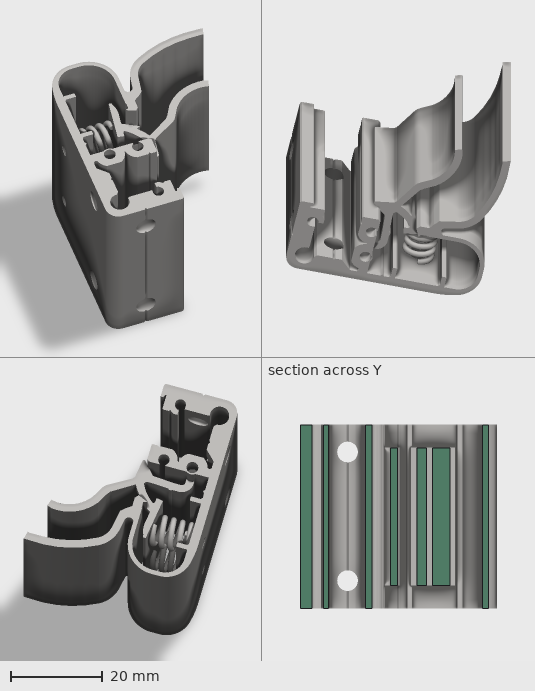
import cadquery as cq
import math

width = 42.8
height = 40.0
mid_height = height / 2
base_top = 2.0
overlap = 0.43

loop_top = 15.05
loop_wall = 1.0
loop_top_radius = 6.98
loop_bottom_radius = 5.85
loop_bottom_start = 6.25
bend_change = (4.92, 0.45)
bend_middle = (6.95, 0.13)
base_start = 8.95

jaw_slot_end = 11.15
lip_top = 16.25

jaw_inset = 5.0

rib_positions = (7.5, 18.45)
rib_width = 1.03
rib_top = 4.6
bead_x = 21.3
bead_half_width = 0.4

post_left = 24.65
post_right = 28.7
post_top = 16.05
post_corner = 0.2
post_bevel = 0.45
pin_center = (25.9, 6.08)
pin_radius = 1.3
pin_sleeve_radius = 1.6
groove_center = (25.95, 12.55)
groove_radius = 1.25
groove_mouth = 1.3
upper_lobe_radius = 3
lower_lobe_radius = 3.3

pad_start = 28.5
pad_top = 4.25
pad_end = 36.8
pad_corner = 0.55
wall_left = 38.3
wall_top = 17.2
wall_shelf = 16.05
wall_groove_center = (39.08, 12.55)
wall_groove_radius = 1.2
corner_radius = 3
channel_center = (38.95, 3.65)
channel_radius = 2.1

mark_depth = 0.35
post_mark_y = 14.3

screw_diameter = 4.5
screw_offset = 14.0
base_hole_x = 32.5
wall_hole_y = 8.3

spring_x = 13.52
spring_offset = 9
peg_diameter = 3.1
peg_bore = 2.53
peg_top = 4.4
peg_slit_width = 0.5
peg_slit_shift = -0.25
wire_diameter = 1.3
coil_diameter = 6.1
coil_pitch = 2.0
coil_turns = 4.5
coil_start = 2.15


def on_circle(center, radius, degrees):
    angle = math.radians(degrees)
    return (center[0] + radius * math.cos(angle), center[1] + radius * math.sin(angle))


def start(x, y):
    return cq.Workplane("XY").moveTo(x, y)


def prism(wire, length=height):
    return wire.close().extrude(length)


def box(x_min, x_max, y_min, y_max):
    return prism(start(x_min, y_min).lineTo(x_max, y_min).lineTo(x_max, y_max).lineTo(x_min, y_max))


def bar(center, radius):
    return cq.Workplane("XY").center(*center).circle(radius).extrude(height)


def mark(x, y, inward_x, inward_y):
    """Right-angled V groove into a flat face; the inward direction is a unit vector."""
    return prism(
        start(x - inward_y * mark_depth, y - inward_x * mark_depth)
        .lineTo(x + inward_x * mark_depth, y + inward_y * mark_depth)
        .lineTo(x + inward_y * mark_depth, y + inward_x * mark_depth)
    )


def drill_along_y(x, z, diameter, y_max):
    return cq.Workplane("XZ").center(x, z).circle(diameter / 2).extrude(-y_max)


def loop():
    top_center = (loop_top_radius, loop_top - loop_top_radius)
    low_center = (loop_bottom_radius, loop_bottom_start)
    inner_top_radius = loop_top_radius - loop_wall
    inner_low_radius = loop_bottom_start - base_top
    inner_low_center = (loop_wall + inner_low_radius, base_top + inner_low_radius)
    lip_end = jaw_slot_end + 2 * overlap
    inner_top = loop_top - loop_wall
    return prism(
        start(base_start + overlap, 0)
        .lineTo(base_start, 0)
        .threePointArc(bend_middle, bend_change)
        .threePointArc(on_circle(low_center, loop_bottom_radius, 215), (0, loop_bottom_start))
        .lineTo(0, top_center[1])
        .threePointArc(on_circle(top_center, loop_top_radius, 135), (top_center[0], loop_top))
        .lineTo(lip_end, loop_top)
        .lineTo(lip_end, inner_top)
        .lineTo(top_center[0], inner_top)
        .threePointArc(on_circle(top_center, inner_top_radius, 135), (loop_wall, top_center[1]))
        .lineTo(loop_wall, inner_low_center[1])
        .threePointArc(on_circle(inner_low_center, inner_low_radius, 225), (inner_low_center[0], base_top))
        .lineTo(base_start + overlap, base_top)
    )


def fixed_jaw():
    slot_roof = 16.95
    slot_round_start = jaw_slot_end - 0.65
    slot_middle = (slot_roof + loop_top) / 2
    return prism(
        start(0.2, 36.95)
        .lineTo(0.15, 35.52)
        .threePointArc((0.8, 27.15), (3.2, 20.8))
        .threePointArc((4.9, 18.8), (7.7, 17.45))
        .lineTo(slot_round_start, slot_roof)
        .threePointArc((jaw_slot_end, slot_middle), (slot_round_start, loop_top))
        .lineTo(slot_round_start, loop_top - loop_wall)
        .lineTo(13.95, loop_top - loop_wall)
        .lineTo(14.12, 14.2)
        .lineTo(15.32, 14.2)
        .lineTo(15.65, 13.45)
        .lineTo(16.6, 15.6)
        .lineTo(15.85, lip_top)
        .lineTo(13.82, lip_top)
        .lineTo(13.1, 17.35)
        .lineTo(12.05, 18.5)
        .lineTo(7.9, 19.2)
        .threePointArc((6.2, 19.95), (4.9, 21.4))
        .threePointArc((2.65, 26.95), (1.85, 32.95))
        .lineTo(1.85, 36.15)
        .lineTo(2.0, 36.5)
    )


def base():
    pad_rise = pad_top - base_top
    end_x = width - corner_radius
    return prism(
        start(base_start, 0)
        .lineTo(end_x, 0)
        .lineTo(end_x, channel_center[1])
        .lineTo(pad_end, channel_center[1])
        .lineTo(pad_end, pad_top - pad_corner)
        .lineTo(pad_end - pad_corner, pad_top)
        .lineTo(pad_start + pad_rise, pad_top)
        .lineTo(pad_start, base_top)
        .lineTo(base_start, base_top)
    ).cut(mark(base_hole_x, pad_top, 0, -1))


def rib(x):
    chamfer = 0.15
    right = x + rib_width
    return prism(
        start(x, overlap)
        .lineTo(x, rib_top - chamfer)
        .lineTo(x + chamfer, rib_top)
        .lineTo(right, rib_top)
        .lineTo(right, base_top + 2 * chamfer)
        .lineTo(right + 2 * chamfer, base_top)
        .lineTo(right + 2 * chamfer, overlap)
    )


def bead():
    return prism(
        start(bead_x - bead_half_width, base_top)
        .lineTo(bead_x, base_top + bead_half_width)
        .lineTo(bead_x + bead_half_width, base_top)
    )


def post():
    def lobe_rise(center, radius):
        """Distance above or below the centre at which the lobe meets the right face."""
        return math.sqrt(radius ** 2 - (post_right - center[0]) ** 2)

    def upper_lobe(degrees):
        return on_circle(groove_center, upper_lobe_radius, degrees)

    def lower_lobe(degrees):
        return on_circle(pin_center, lower_lobe_radius, degrees)

    slot_left = 26.6
    slot_chamfer = 0.3
    neck_tip = (26.25, 9.4)
    upper_end = groove_center[1] - lobe_rise(groove_center, upper_lobe_radius)
    lower_rise = lobe_rise(pin_center, lower_lobe_radius)
    section = prism(
        start(post_left, overlap)
        .lineTo(post_left, post_top - post_bevel)
        .lineTo(post_left + post_bevel, post_top)
        .lineTo(post_right - post_corner, post_top)
        .lineTo(post_right, post_top - post_corner)
        .lineTo(post_right, upper_end)
        .threePointArc(upper_lobe(-50), upper_lobe(-78))
        .lineTo(*neck_tip)
        .lineTo(*lower_lobe(79))
        .threePointArc(lower_lobe(55), (post_right, pin_center[1] + lower_rise))
        .lineTo(post_right, pin_center[1] - lower_rise)
        .threePointArc(lower_lobe(-55), lower_lobe(-75))
        .lineTo(slot_left, base_top + overlap)
        .lineTo(slot_left + slot_chamfer, base_top)
        .lineTo(slot_left + slot_chamfer, overlap)
    )
    section = section.union(bar(pin_center, pin_sleeve_radius))
    mouth_bottom = groove_center[1] - groove_mouth / 2
    mouth = box(post_left, groove_center[0], mouth_bottom, mouth_bottom + groove_mouth)
    return section.cut(bar(groove_center, groove_radius)).cut(mouth).cut(mark(post_right, post_mark_y, -1, 0))


def end_wall():
    wall_corner = 0.35
    small_corner = 0.15
    channel_lip = 0.13
    cap_left = 39.68
    cap_notch = 40.3
    shelf_left = 37.0
    hook_left = 36.65
    hook_right = 37.85
    groove_bottom = wall_groove_center[1] - wall_groove_radius
    channel_top = 5.8
    hook_bottom = wall_groove_center[1]
    arc_center = (width - corner_radius, corner_radius)
    section = prism(
        start(arc_center[0], 0)
        .threePointArc(on_circle(arc_center, corner_radius, -45), (width, corner_radius))
        .lineTo(width, wall_top - wall_corner)
        .lineTo(width - wall_corner, wall_top)
        .lineTo(cap_left + small_corner, wall_top)
        .lineTo(cap_left, wall_top - small_corner)
        .lineTo(cap_left, 16.65)
        .lineTo(cap_notch, 16.35)
        .lineTo(cap_notch, wall_shelf)
        .lineTo(shelf_left + small_corner, wall_shelf)
        .lineTo(shelf_left, wall_shelf - small_corner)
        .lineTo(shelf_left, 14.6)
        .lineTo(37.3, 14.35)
        .lineTo(hook_left, 13.45)
        .lineTo(hook_left, hook_bottom)
        .lineTo(hook_right, hook_bottom)
        .lineTo(hook_right, 12.95)
        .lineTo(*on_circle(wall_groove_center, wall_groove_radius, 120))
        .lineTo(wall_groove_center[0], groove_bottom)
        .lineTo(wall_left, groove_bottom)
        .lineTo(wall_left, channel_top + overlap)
        .lineTo(wall_left + channel_lip, channel_top)
        .lineTo(wall_left + channel_lip, channel_center[1])
        .lineTo(arc_center[0], channel_center[1])
    )
    return section.cut(bar(wall_groove_center, wall_groove_radius)).cut(mark(width, wall_hole_y, -1, 0))


def fixed_body():
    body = loop().union(fixed_jaw()).union(base()).union(bead()).union(end_wall())
    for x in rib_positions:
        body = body.union(rib(x))
    return body.union(post()).cut(bar(channel_center, channel_radius))


def swinging_jaw():
    """Gripping arm, beak, hinge leg and spring plate in one section."""
    hook_bottom = 5.25
    hook_top = 7.05
    hook_end = post_left + overlap
    section = prism(
        start(10.55, 34.55)
        .lineTo(10.15, 33.4)
        .threePointArc((11.13, 27.75), (14.15, 24.1))
        .lineTo(16.45, 22.85)
        .lineTo(17.3, 22.2)
        .lineTo(20.4, 17.35)
        .threePointArc((19.2, 16.6), (17.9, 15.5))
        .lineTo(17.65, 15.35)
        .lineTo(17.25, 16.2)
        .lineTo(15.65, 13.4)
        .lineTo(15.2, 12.63)
        .lineTo(12.5, 13.0)
        .threePointArc((11.13, 13.0), (9.85, 12.63))
        .lineTo(9.15, 12.5)
        .lineTo(9.15, 11.9)
        .lineTo(18.4, 10.6)
        .lineTo(18.65, 12.1)
        .lineTo(17.65, 12.2)
        .lineTo(17.3, 12.55)
        .threePointArc((19.1, 14.42), (21.15, 15.7))
        .lineTo(21.65, 15.25)
        .lineTo(21.65, 13.52)
        .lineTo(21.45, 10.27)
        .lineTo(21.2, 10.05)
        .lineTo(21.2, 9.55)
        .lineTo(21.35, 9.37)
        .lineTo(21.35, 7.55)
        .threePointArc((22.35, 5.85), (23.95, hook_bottom))
        .lineTo(hook_end, hook_bottom)
        .lineTo(hook_end, hook_top)
        .lineTo(23.65, hook_top)
        .threePointArc((23.2, 7.28), (23.0, 7.75))
        .lineTo(23.0, 9.4)
        .lineTo(23.33, 14.2)
        .lineTo(23.55, 14.45)
        .lineTo(26.35, 16.95)
        .lineTo(26.25, 17.38)
        .lineTo(22.0, 17.98)
        .lineTo(21.53, 18.4)
        .lineTo(18.85, 22.95)
        .threePointArc((18.35, 23.63), (17.6, 24.22))
        .lineTo(15.2, 25.55)
        .threePointArc((12.65, 28.5), (11.8, 32.75))
        .lineTo(12.03, 34.05),
        height - 2 * jaw_inset,
    )
    return section.translate((0, 0, jaw_inset))


def peg(z):
    return drill_along_y(spring_x, z, peg_diameter, peg_top)


def peg_opening(z):
    """Bore of the peg together with its lengthwise slit on the +Z side."""
    slit = (
        cq.Workplane("XZ")
        .center(spring_x + peg_slit_shift, z + peg_diameter / 4)
        .rect(peg_slit_width, peg_diameter / 2)
        .extrude(-peg_top)
    )
    return drill_along_y(spring_x, z, peg_bore, peg_top).union(slit)


def spring(z):
    """Right-handed coil rising along +Y; it sinks into the base and into the spring plate."""
    radius = coil_diameter / 2
    path = cq.Wire.makeHelix(coil_pitch, coil_pitch * coil_turns, radius)
    coil = (
        cq.Workplane("XZ", origin=(radius, 0, 0))
        .circle(wire_diameter / 2)
        .sweep(cq.Workplane(path), isFrenet=True)
    )
    start_angle = 90
    axis_tilt = -90
    return (
        coil.rotate((0, 0, 0), (0, 0, 1), start_angle)
        .rotate((0, 0, 0), (1, 0, 0), axis_tilt)
        .translate((spring_x, coil_start, z))
    )


result = fixed_body().union(swinging_jaw())

for z_start in (0, height - jaw_inset):
    recess = cq.Workplane("XY", origin=(*pin_center, z_start)).circle(pin_radius).extrude(jaw_inset)
    result = result.cut(recess)

for side in (-1, 1):
    screw_z = mid_height + side * screw_offset
    result = result.cut(drill_along_y(base_hole_x, screw_z, screw_diameter, pad_top))
    wall_hole = (
        cq.Workplane("YZ", origin=(wall_left - overlap, 0, 0))
        .center(wall_hole_y, screw_z)
        .circle(screw_diameter / 2)
        .extrude(width - wall_left + 2 * overlap)
    )
    result = result.cut(wall_hole)

for side in (-1, 1):
    spring_z = mid_height + side * spring_offset
    result = result.union(peg(spring_z)).union(spring(spring_z)).cut(peg_opening(spring_z))